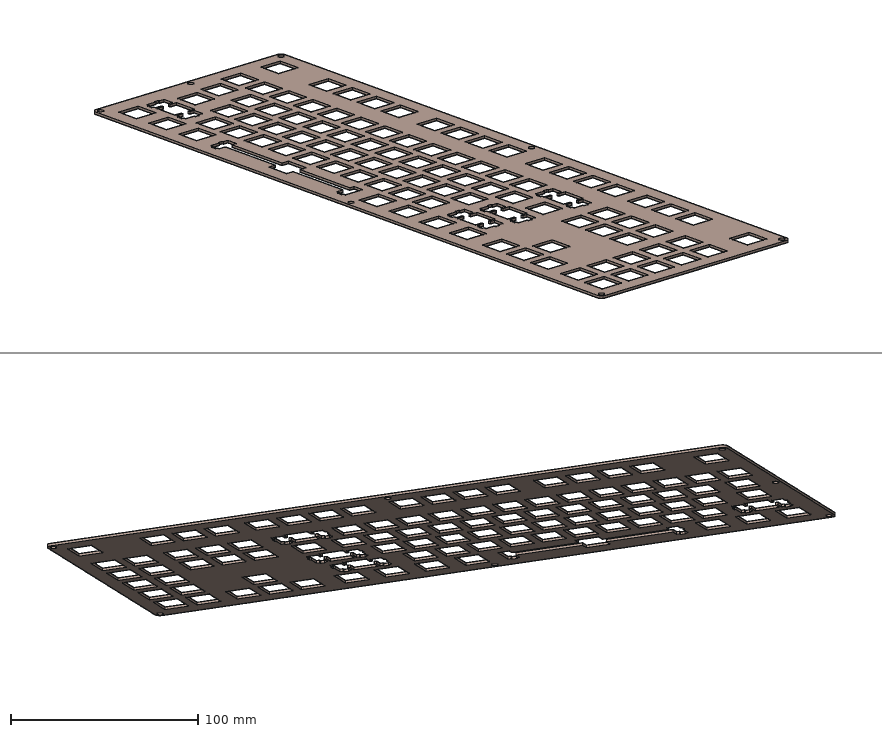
import cadquery as cq

plate_length = 403.5
plate_width = 136.7
plate_thickness = 1.5
corner_radius = 3.0

mount_diameter = 3.4
mount_inset = 3.2

key_span = 371.5
last_column = 19.5
key_unit = key_span / last_column

function_row = 0
number_row = 1.5
upper_row = 2.5
home_row = 3.5
lower_row = 4.5
bottom_row = 5.5

function_row_gap = 14.5
switch_size = number_row * key_unit - function_row_gap

slot_half_width = 3.35
slot_top = switch_size / 2 - 1.5
slot_bottom = -switch_size / 2 + 0.25
slot_web = 1.55
short_reach = switch_size / 2 + slot_web + slot_half_width
space_bar_reach = 50.0
foot_width = 3.15
foot_depth = 1.2
ear_depth = 0.9
ear_height = 2.8
ear_centre = 0.9
wire_channel_height = 5.0


def run(first, count):
    """Columns of a run of neighbouring single keys."""
    return [first + step for step in range(count)]


backspace_column = 13.5
enter_column = 13.375
left_shift_column = 0.625
right_shift_column = 13.125
space_bar_column = 6.375
up_arrow_column = 16.25
left_modifiers = [0.125, 1.375, 2.625]
right_modifiers = [10.125, 11.375, 12.625, 13.875]
navigation_keys = run(15.25, 3)
numpad_keys = run(18.5, 2)

key_rows = {
    function_row: [0] + run(2, 4) + run(6.5, 4) + run(11, 4) + navigation_keys + [last_column],
    number_row: run(0, 13) + [backspace_column] + navigation_keys + numpad_keys,
    upper_row: [0.25] + run(1.5, 12) + [13.75] + navigation_keys + numpad_keys,
    home_row: [0.375] + run(1.75, 11) + [enter_column] + numpad_keys,
    lower_row: [left_shift_column] + run(2.25, 10) + [right_shift_column, up_arrow_column] + numpad_keys,
    bottom_row: left_modifiers + [space_bar_column] + right_modifiers + navigation_keys + numpad_keys,
}
short_stabilised_keys = [
    (backspace_column, number_row),
    (enter_column, home_row),
    (left_shift_column, lower_row),
    (right_shift_column, lower_row),
]


def key_centre(column, row):
    """Position of a key; the key grid is centred on the plate."""
    x = (column - last_column / 2) * key_unit
    y = (bottom_row / 2 - row) * key_unit
    return x, y


def cutter(centre, width, height):
    """Rectangular cutter through the plate."""
    return cq.Workplane("XY").center(*centre).rect(width, height).extrude(plate_thickness)


def stabiliser_cutter(key, reach, ear_sides):
    """Slots left and right of a long key, joined by the wire channel; ears on the given sides."""
    x, y = key_centre(*key)
    slot_y = y + (slot_top + slot_bottom) / 2
    slot_height = slot_top - slot_bottom
    cut = cutter((x, y), 2 * reach, wire_channel_height)
    for side in (-1, 1):
        slot_x = x + side * reach
        cut = cut.union(cutter((slot_x, slot_y), 2 * slot_half_width, slot_height))
        cut = cut.union(cutter((slot_x, y + slot_bottom), foot_width, 2 * foot_depth))
        if side in ear_sides:
            ear_x = slot_x + side * slot_half_width
            cut = cut.union(cutter((ear_x, y + ear_centre), 2 * ear_depth, ear_height))
    return cut


plate = cq.Workplane("XY").rect(plate_length, plate_width).extrude(plate_thickness)
plate = plate.edges("|Z").fillet(corner_radius)

mount_x = plate_length / 2 - mount_inset
mount_y = plate_width / 2 - mount_inset
mount_points = [(x, y) for x in (-mount_x, 0, mount_x) for y in (-mount_y, mount_y)]
mount_points.append((-mount_x, 0))
mount_cutters = cq.Workplane("XY").pushPoints(mount_points).circle(mount_diameter / 2)
plate = plate.cut(mount_cutters.extrude(plate_thickness))

switch_points = [key_centre(column, row) for row, columns in key_rows.items() for column in columns]
switch_cutters = cq.Workplane("XY").pushPoints(switch_points).rect(switch_size, switch_size)
plate = plate.cut(switch_cutters.extrude(plate_thickness))

for key in short_stabilised_keys:
    plate = plate.cut(stabiliser_cutter(key, short_reach, (-1, 1)))
plate = plate.cut(stabiliser_cutter((space_bar_column, bottom_row), space_bar_reach, (-1,)))

result = plate